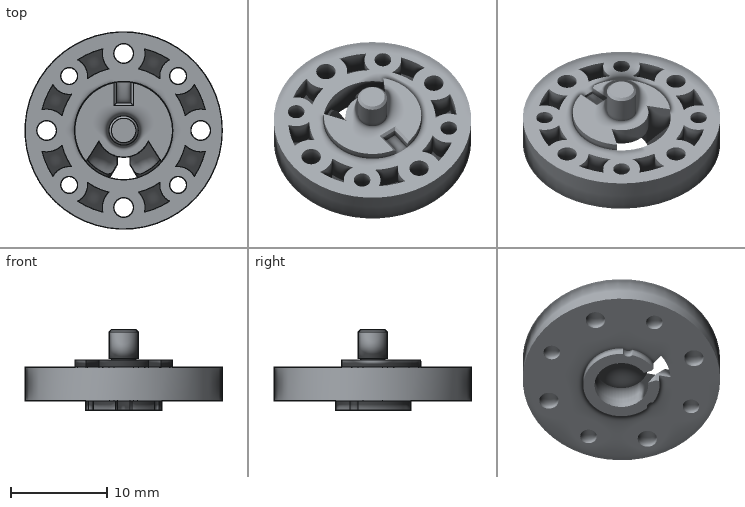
import cadquery as cq
import math

overrun = 0.2

boss_height = 1.0
plate_thickness = 3.5
plate_top = boss_height + plate_thickness
ledge_height = 2.8
flange_rise = 0.74
flange_top = plate_top + flange_rise
hub_thickness = 1.85
hub_underside = flange_top - hub_thickness

plate_radius = 10.25
boss_radius = 3.95
recess_radius = 5.1
bolt_circle_radius = 8.0
large_hole_radius = 1.0
small_hole_radius = 0.86
hole_count = 8
hole_pitch = 360.0 / hole_count

pocket_inner_radius = 6.58
pocket_outer_radius = 8.75
pocket_depth = 2.75
large_collar_radius = 2.21
small_collar_radius = 1.9

slot_half_width = 0.65
flare_start = 3.55
flare_half_angle = 30.5
flare_edge_radius = 0.7

scallop_radius = 0.6
scallop_circle_radius = 4.26
scallop_angles = (-150.5, -29.5)

seat_bottom_radius = 2.79
seat_top_radius = 4.85

flange_radius = 5.06
hub_radius = seat_bottom_radius
notch_apex = 3.0
notch_half_angle = 32.0
key_pocket_width = 1.54
key_pocket_start = 2.83
key_pocket_depth = 1.02
key_pocket_chamfer = 0.25

neck_radius = 1.27
neck_height = 0.15
pin_radius = 1.52
pin_length = 3.01
pin_chamfer = 0.25


def cylinder(radius, bottom, top):
    """Upright cylinder on the Z axis."""
    return cq.Workplane("XY").workplane(offset=bottom).circle(radius).extrude(top - bottom)


def polar(radius, angle):
    """Point in the XY plane at a radius and an angle in degrees."""
    return (radius * math.cos(math.radians(angle)), radius * math.sin(math.radians(angle)))


def hole_is_large(index):
    """Large and small holes alternate, with large ones on the X and Y axes."""
    return index % 2 == 0


def slot_half_width_at(distance):
    """Half width of the flared part of the slot at a distance from the plate axis."""
    return slot_half_width + (distance - flare_start) * math.tan(math.radians(flare_half_angle))


def outlet_slot():
    """Slot from the centre to the recess wall, as high as the ledge."""
    flare_end = recess_radius + overrun
    flare_end_half_width = slot_half_width_at(flare_end)
    outline = [
        (-slot_half_width, 0),
        (-slot_half_width, -flare_start),
        (-flare_end_half_width, -flare_end),
        (flare_end_half_width, -flare_end),
        (slot_half_width, -flare_start),
        (slot_half_width, 0),
    ]
    slot = cq.Workplane("XY").polyline(outline).close().extrude(ledge_height)
    return slot.intersect(cylinder(recess_radius, 0, ledge_height))


def lightening_pockets():
    """Ring of pockets that is interrupted by a round collar at every hole."""
    floor = plate_top - pocket_depth
    pockets = cylinder(pocket_outer_radius, floor, plate_top).cut(
        cylinder(pocket_inner_radius, floor, plate_top)
    )
    for index in range(hole_count):
        collar_radius = large_collar_radius if hole_is_large(index) else small_collar_radius
        center = polar(bolt_circle_radius, index * hole_pitch)
        pockets = pockets.cut(cylinder(collar_radius, floor, plate_top).translate((*center, 0)))
    return pockets


def make_plate():
    """Round plate with a boss, a stepped conical seat, holes and pockets."""
    plate = cylinder(plate_radius, boss_height, plate_top).union(cylinder(boss_radius, 0, boss_height))

    plate = plate.cut(cylinder(recess_radius, ledge_height, plate_top))

    plate = plate.cut(outlet_slot())
    flare_middle = (flare_start + recess_radius) / 2
    flare_middle_x = slot_half_width_at(flare_middle)
    for side in (-1, 1):
        flare_edge = cq.selectors.NearestToPointSelector((side * flare_middle_x, -flare_middle, ledge_height))
        plate = plate.edges(flare_edge).fillet(flare_edge_radius)

    seat = (
        cq.Workplane("XZ")
        .polyline([(0, 0), (seat_bottom_radius, 0), (seat_top_radius, ledge_height), (0, ledge_height)])
        .close()
        .revolve(360, (0, 0), (0, 1))
    )
    plate = plate.cut(seat)

    for index in range(hole_count):
        hole_radius = large_hole_radius if hole_is_large(index) else small_hole_radius
        center = polar(bolt_circle_radius, index * hole_pitch)
        plate = plate.cut(cylinder(hole_radius, boss_height, plate_top).translate((*center, 0)))
    plate = plate.cut(lightening_pockets())

    for angle in scallop_angles:
        center = polar(scallop_circle_radius, angle)
        plate = plate.cut(cylinder(scallop_radius, 0, boss_height).translate((*center, 0)))
    return plate


def rotor_notch():
    """Wedge open toward -Y that leaves the round hub standing."""
    reach = flange_radius + overrun
    slope = math.tan(math.radians(notch_half_angle))
    inner_half_width = notch_apex * slope
    outer_half_width = (notch_apex + reach) * slope
    outline = [
        (-inner_half_width, 0),
        (-outer_half_width, -reach),
        (outer_half_width, -reach),
        (inner_half_width, 0),
    ]
    wedge = cq.Workplane("XY").polyline(outline).close().extrude(flange_top)
    return wedge.cut(cylinder(hub_radius, 0, flange_top))


def key_pocket():
    """Pocket open at the +Y rim, with a chamfer around its top edge."""
    length = flange_radius - key_pocket_start + overrun
    pocket = (
        cq.Workplane("XY")
        .workplane(offset=flange_top - key_pocket_depth)
        .center(0, key_pocket_start + length / 2)
        .rect(key_pocket_width, length)
        .extrude(key_pocket_depth)
    )
    chamfer = (
        cq.Workplane("XY")
        .workplane(offset=flange_top - key_pocket_chamfer)
        .center(0, key_pocket_start + length / 2)
        .rect(key_pocket_width, length)
        .workplane(offset=key_pocket_chamfer)
        .rect(key_pocket_width + 2 * key_pocket_chamfer, length + 2 * key_pocket_chamfer)
        .loft()
    )
    return pocket.union(chamfer)


def make_rotor():
    """Flanged conical plug, hollow below its hub."""
    profile = [
        (seat_bottom_radius, 0),
        (seat_top_radius, ledge_height),
        (flange_radius, ledge_height),
        (flange_radius, flange_top),
        (0, flange_top),
        (0, hub_underside),
        (hub_radius, hub_underside),
    ]
    rotor = cq.Workplane("XZ").polyline(profile).close().revolve(360, (0, 0), (0, 1))
    return rotor.cut(rotor_notch()).cut(key_pocket())


def make_pin():
    """Pin on the rotor hub, standing on a narrower neck."""
    pin_bottom = flange_top + neck_height
    head = cylinder(pin_radius, pin_bottom, pin_bottom + pin_length).faces(">Z").chamfer(pin_chamfer)
    return head.union(cylinder(neck_radius, flange_top, pin_bottom))


plate = make_plate()
rotor = make_rotor()
pin = make_pin()

bodies = [plate, rotor, pin]
result = cq.Compound.makeCompound([body.solids().val() for body in bodies])